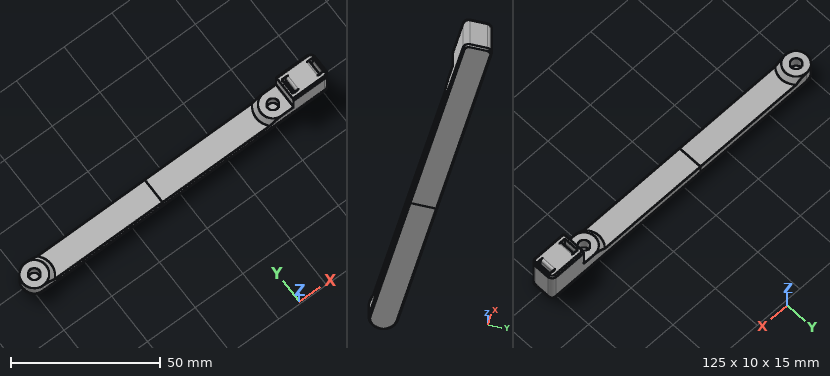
import cadquery as cq
import math

arm_width = 10.0
arm_height = 5.0
edge_bevel_height = 1.0
edge_bevel_inset = 0.5

hole_offset = 50.0
hole_diameter = 4.2
hole_depth = 5.0
boss_height = 7.0

block_gap = 5.0
block_length = 15.0
block_height = 15.0
block_corner_radius = 2.0

tie_channel_width = 6.0
tie_channel_inner_radius = 5.0
tie_channel_gap = 1.5
tie_channel_axis_depth = 3.0
tie_channel_lip_radius = 1.0

edge_bevel_angle = math.degrees(math.atan2(edge_bevel_inset, edge_bevel_height))
boss_top_radius = arm_width / 2
boss_rise = boss_height - arm_height
boss_base_radius = boss_top_radius + boss_rise
round_end = -hole_offset - arm_width / 2
block_start = hole_offset + block_gap
block_end = block_start + block_length


def bar(x_start, x_end, height):
    """Plain bar standing on Z = 0 and centred on Y = 0."""
    return cq.Workplane("XY", origin=(x_start, 0, 0)).box(
        x_end - x_start, arm_width, height, centered=(False, True, False)
    )


def outline(z):
    """Plan outline of the whole arm: a half-round left end and two rounded corners on the right."""
    half_width = arm_width / 2
    corner = block_corner_radius
    return (
        cq.Workplane("XY", origin=(0, 0, z))
        .moveTo(-hole_offset, -half_width)
        .lineTo(block_end - corner, -half_width)
        .radiusArc((block_end, -half_width + corner), -corner)
        .lineTo(block_end, half_width - corner)
        .radiusArc((block_end - corner, half_width), -corner)
        .lineTo(-hole_offset, half_width)
        .threePointArc((round_end, 0), (-hole_offset, -half_width))
        .close()
    )


def envelope():
    """Outer skin of the whole arm at full block height, bevelled along its bottom and top edges."""
    top_bevel_start = block_height - edge_bevel_height
    bottom_bevel = outline(edge_bevel_height).extrude(-edge_bevel_height, taper=edge_bevel_angle)
    walls = outline(edge_bevel_height).extrude(top_bevel_start - edge_bevel_height)
    top_bevel = outline(top_bevel_start).extrude(edge_bevel_height, taper=edge_bevel_angle)
    return walls.union(bottom_bevel).union(top_bevel)


def boss_cone(x_center):
    """Conical flank of a screw boss on top of the arm."""
    return (
        cq.Workplane("XY", origin=(x_center, 0, arm_height))
        .circle(boss_base_radius)
        .workplane(offset=boss_rise)
        .circle(boss_top_radius)
        .loft(ruled=True)
    )


def screw_hole(x_center):
    """Blind hole sunk from the top of a boss."""
    return (
        cq.Workplane("XY", origin=(x_center, 0, boss_height - hole_depth))
        .circle(hole_diameter / 2)
        .extrude(hole_depth)
    )


def tie_channel():
    """U-shaped cable tie passage opening in two slots in the block top, with rounded inner lips."""
    inner = tie_channel_inner_radius
    outer = inner + tie_channel_gap
    lip = tie_channel_lip_radius
    bend_z = -tie_channel_axis_depth
    return (
        cq.Workplane("XZ", origin=((block_start + block_end) / 2, tie_channel_width / 2, block_height))
        .moveTo(-outer, 0)
        .lineTo(-outer, bend_z)
        .threePointArc((0, bend_z - outer), (outer, bend_z))
        .lineTo(outer, 0)
        .lineTo(inner - lip, 0)
        .radiusArc((inner, -lip), lip)
        .lineTo(inner, bend_z)
        .threePointArc((0, bend_z - inner), (-inner, bend_z))
        .lineTo(-inner, -lip)
        .radiusArc((-inner + lip, 0), lip)
        .close()
        .extrude(tie_channel_width)
    )


def make_round_end_arm():
    """Half of the arm with a rounded end around its screw boss."""
    post = bar(round_end, -hole_offset, boss_height)
    shaft = bar(-hole_offset, 0, arm_height)
    arm = post.union(shaft).union(boss_cone(-hole_offset))
    return arm.intersect(envelope()).cut(screw_hole(-hole_offset))


def make_block_arm():
    """Half of the arm that carries the tall cable tie block."""
    shaft = bar(0, hole_offset, arm_height)
    seat = bar(hole_offset, block_start, boss_height)
    block = bar(block_start, block_end, block_height)
    arm = shaft.union(seat).union(block).union(boss_cone(hole_offset))
    return arm.intersect(envelope()).cut(screw_hole(hole_offset)).cut(tie_channel())


round_end_arm = make_round_end_arm()
block_arm = make_block_arm()

result = cq.Compound.makeCompound([round_end_arm.val(), block_arm.val()])